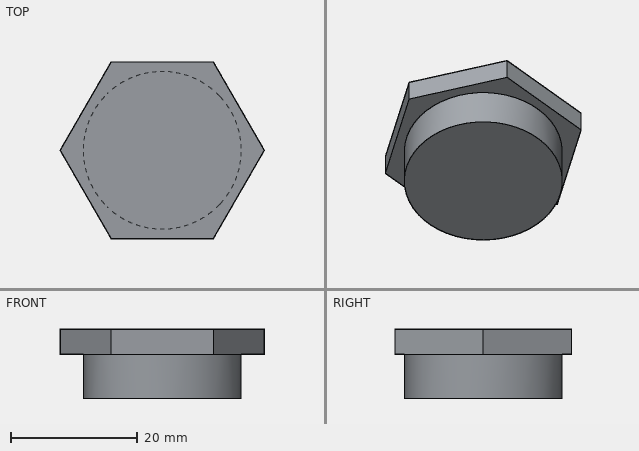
import cadquery as cq

head_across_corners = 32.33
total_height = 11.0
head_height = 4.0

plug_diameter = 25.0
plug_height = total_height - head_height

plug = cq.Workplane("XY").circle(plug_diameter / 2).extrude(plug_height)

head = (
    cq.Workplane("XY")
    .workplane(offset=plug_height)
    .polygon(6, head_across_corners)
    .extrude(head_height)
)

result = plug.union(head)